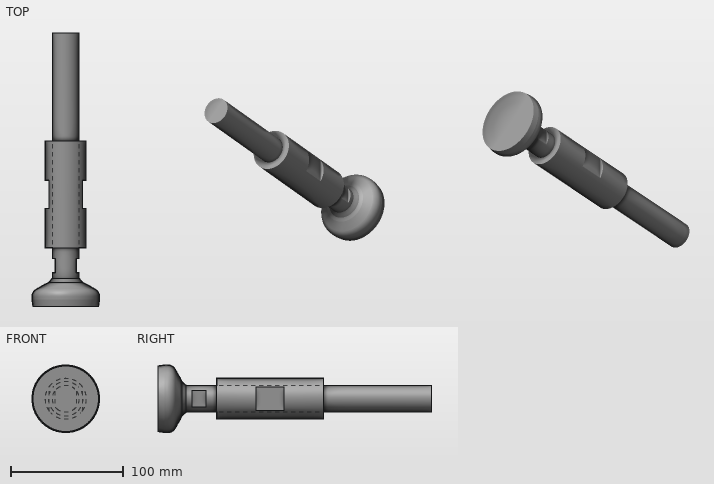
import cadquery as cq
import math

TOTAL_LENGTH = 243.0

ROD_RADIUS = 12.0
ROD_FLATS_START = 30.1
ROD_FLATS_LENGTH = 12.5
ROD_ACROSS_FLATS = 19.0

FOOT_DIAMETER = 60.0
FOOT_RADIUS = FOOT_DIAMETER / 2
FACE_RADIUS = 29.2
RIM_START = 5.8
RIM_END = 8.7
SHOULDER_FILLET = 7.5
CONE_ANGLE = math.radians(60)
CONE_END = 19.7
FLARE_START = 21.1
FLARE_START_RADIUS = 15.3
FOOT_HEIGHT = 25.0

SLEEVE_START = 52.0
SLEEVE_LENGTH = 95.3
SLEEVE_RADIUS = 18.2
SLEEVE_FLATS_LENGTH = 25.0
SLEEVE_ACROSS_FLATS = 30.1


def cylinder(radius, start, length):
    """Cylinder along +Y, beginning at Y = start."""
    return cq.Workplane(cq.Solid.makeCylinder(radius, length, cq.Vector(0, start, 0), cq.Vector(0, 1, 0)))


def cut_flats(body, radius, across_flats, start, length):
    """Cut two opposite flats facing -X and +X."""
    depth = radius - across_flats / 2
    for side in (-1, 1):
        cutter = cq.Workplane().box(depth, length, 2 * radius).translate(
            (side * (across_flats + depth) / 2, start + length / 2, 0)
        )
        body = body.cut(cutter)
    return body


def make_foot():
    """Revolved foot: tapered edge, straight rim, rounded shoulder, cone and flare into the rod."""

    def shoulder_point(angle):
        """Point on the shoulder arc, with angle measured from the rim."""
        radius = FOOT_RADIUS - SHOULDER_FILLET * (1 - math.cos(angle))
        return radius, RIM_END + SHOULDER_FILLET * math.sin(angle)

    shoulder_end = shoulder_point(CONE_ANGLE)
    cone_end_radius = shoulder_end[0] - (CONE_END - shoulder_end[1]) * math.tan(CONE_ANGLE)
    return (
        cq.Workplane("XY")
        .lineTo(FACE_RADIUS, 0)
        .lineTo(FOOT_RADIUS, RIM_START)
        .lineTo(FOOT_RADIUS, RIM_END)
        .threePointArc(shoulder_point(CONE_ANGLE / 2), shoulder_end)
        .lineTo(cone_end_radius, CONE_END)
        .lineTo(FLARE_START_RADIUS, FLARE_START)
        .lineTo(ROD_RADIUS, FOOT_HEIGHT)
        .lineTo(0, FOOT_HEIGHT)
        .close()
        .revolve(360, (0, 0, 0), (0, 1, 0))
    )


def make_spindle():
    """Rod with wrench flats, carried by the foot."""
    rod = cylinder(ROD_RADIUS, FOOT_HEIGHT, TOTAL_LENGTH - FOOT_HEIGHT)
    rod = cut_flats(rod, ROD_RADIUS, ROD_ACROSS_FLATS, ROD_FLATS_START, ROD_FLATS_LENGTH)
    return make_foot().union(rod)


def make_sleeve():
    """Tube around the rod, with wrench flats at mid-length."""
    sleeve = cylinder(SLEEVE_RADIUS, SLEEVE_START, SLEEVE_LENGTH)
    sleeve = sleeve.cut(cylinder(ROD_RADIUS, SLEEVE_START, SLEEVE_LENGTH))
    flats_start = SLEEVE_START + (SLEEVE_LENGTH - SLEEVE_FLATS_LENGTH) / 2
    return cut_flats(sleeve, SLEEVE_RADIUS, SLEEVE_ACROSS_FLATS, flats_start, SLEEVE_FLATS_LENGTH)


spindle = make_spindle()
sleeve = make_sleeve()
result = cq.Compound.makeCompound([spindle.val(), sleeve.val()])